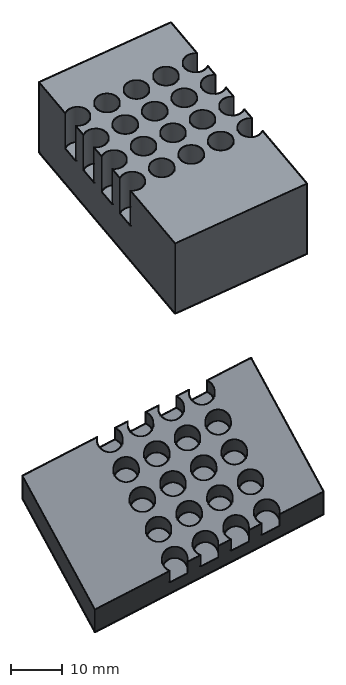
import cadquery as cq

length = 50.0
width = 30.0
height = 20.0

hole_diameter = 5.0
hole_depth = height / 2
hole_pitch = 6.7
column_offsets = [-2, -1, 0, 1]
row_offsets = [-2, -1, 0, 1, 2]


def make_block():
    return cq.Workplane("XY").box(length, width, height, centered=(True, True, False))


def make_hole_cutters():
    centres = [
        (column * hole_pitch, row * hole_pitch)
        for column in column_offsets
        for row in row_offsets
    ]
    return (
        cq.Workplane("XY")
        .workplane(offset=height - hole_depth)
        .pushPoints(centres)
        .circle(hole_diameter / 2)
        .extrude(hole_depth)
    )


result = make_block().cut(make_hole_cutters())